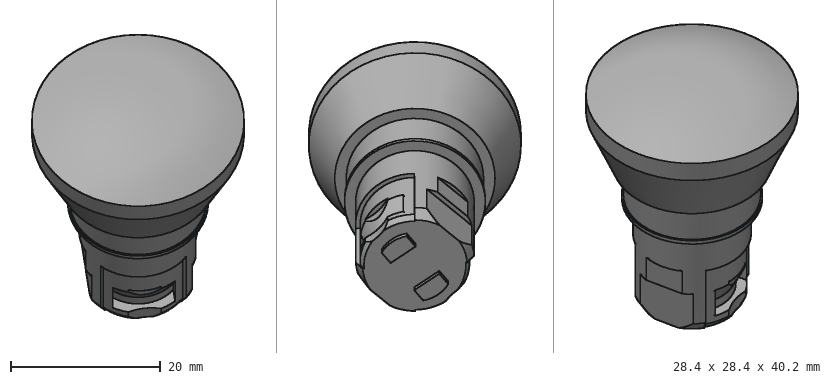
import cadquery as cq
import math

TOTAL_HEIGHT = 40.25
BODY_BOTTOM = 0.75
RECESS_TOP = 11.7
FLANGE_BOTTOM = 17.92
FLANGE_TOP = 18.52
HEAD_BOTTOM = 24.45
RIM_BOTTOM = 33.35
RIM_TOP = 36.35

HEAD_RADIUS = 28.4 / 2
HEAD_BASE_RADIUS = 10.7
COLLAR_RADIUS = 9.2
FLANGE_RADIUS = 9.42
BODY_RADIUS = 7.95
CORE_RADIUS = 7.33

BODY_TURN = -10
RECESS_ANGLE = 93.4
BODY_CHAMFER_HEIGHT = 1.75
BODY_CHAMFER_WIDTH = 0.93
CORE_CHAMFER_HEIGHT = 0.95
CORE_CHAMFER_WIDTH = CORE_CHAMFER_HEIGHT * BODY_CHAMFER_WIDTH / BODY_CHAMFER_HEIGHT

UPPER_FLAT_WIDTH = 5.55
LOWER_FLAT_WIDTH = 8.2
LOWER_FLAT_TOP = 7.75

POCKET_WIDTH = 8.38
POCKET_BOTTOM = 2.78
POCKET_WALL_TOP = 4.25
POCKET_TOP = 7.33
POCKET_RADIUS = 5.88
SCOOP_RADIUS = 7.35
SCOOP_FLOOR = 6.65
SCOOP_TOP = LOWER_FLAT_TOP

TAB_RADIUS = 5.07
TAB_INNER_X = 2.6
TAB_WIDTH = 4.2


def cylinder(radius, bottom, top):
    return cq.Workplane("XY").workplane(offset=bottom).circle(radius).extrude(top - bottom)


def block(x_min, x_max, width, bottom, top):
    """Box centred on the X axis."""
    length = x_max - x_min
    height = top - bottom
    return cq.Workplane("XY").box(length, width, height).translate(
        ((x_min + x_max) / 2, 0, (bottom + top) / 2)
    )


def both_sides(shape):
    """The shape together with its copy half a turn about Z."""
    return shape.union(shape.rotate((0, 0, 0), (0, 0, 1), 180))


def make_head_and_collar():
    return (
        cq.Workplane("XZ")
        .moveTo(0, FLANGE_BOTTOM)
        .lineTo(FLANGE_RADIUS, FLANGE_BOTTOM)
        .lineTo(FLANGE_RADIUS, FLANGE_TOP)
        .lineTo(COLLAR_RADIUS, FLANGE_TOP)
        .lineTo(COLLAR_RADIUS, HEAD_BOTTOM)
        .lineTo(HEAD_BASE_RADIUS, HEAD_BOTTOM)
        .lineTo(HEAD_RADIUS, RIM_BOTTOM)
        .lineTo(HEAD_RADIUS, RIM_TOP)
        .threePointArc(dome_point(HEAD_RADIUS / 2), (0, TOTAL_HEIGHT))
        .close()
        .revolve(360, (0, 0, 0), (0, 1, 0))
    )


def dome_radius():
    rise = TOTAL_HEIGHT - RIM_TOP
    return (HEAD_RADIUS**2 + rise**2) / (2 * rise)


def dome_point(radius):
    sphere = dome_radius()
    return radius, TOTAL_HEIGHT - sphere + math.sqrt(sphere**2 - radius**2)


def chamfered_cylinder(radius, top, chamfer_height, chamfer_width):
    solid = cylinder(radius, BODY_BOTTOM, top)
    return solid.faces("<Z").edges().chamfer(chamfer_height, chamfer_width)


def make_recess_sector():
    """Wedge open towards +X, spanning the angle of one side recess."""
    reach = 2 * BODY_RADIUS
    half_width = reach * math.tan(math.radians(RECESS_ANGLE / 2))
    return (
        cq.Workplane("XY")
        .polyline([(0, 0), (reach, -half_width), (reach, half_width)])
        .close()
        .extrude(RECESS_TOP)
    )


def make_flat_cut(width, bottom, top):
    """Block removed outside a flat of the given width, facing -Y."""
    distance = math.sqrt(BODY_RADIUS**2 - (width / 2) ** 2)
    cut = block(distance, 2 * BODY_RADIUS, 2 * BODY_RADIUS, bottom, top)
    return cut.rotate((0, 0, 0), (0, 0, 1), -90)


def make_pocket():
    """Undercut with a vertical inner wall that flares out conically above."""
    profile = [
        (POCKET_RADIUS, POCKET_BOTTOM),
        (POCKET_RADIUS, POCKET_WALL_TOP),
        (CORE_RADIUS, POCKET_TOP),
        (BODY_RADIUS, POCKET_TOP),
        (BODY_RADIUS, POCKET_BOTTOM),
    ]
    ring = cq.Workplane("XZ").polyline(profile).close().revolve(360, (0, 0, 0), (0, 1, 0))
    return ring.intersect(block(0, BODY_RADIUS, POCKET_WIDTH, POCKET_BOTTOM, POCKET_TOP))


def make_scoop():
    """Shallow vertical groove through the bottom lip and into the pocket roof."""
    return cylinder(SCOOP_RADIUS, BODY_BOTTOM, SCOOP_TOP).translate((SCOOP_FLOOR + SCOOP_RADIUS, 0, 0))


def make_body():
    body = chamfered_cylinder(BODY_RADIUS, FLANGE_BOTTOM, BODY_CHAMFER_HEIGHT, BODY_CHAMFER_WIDTH)
    core = chamfered_cylinder(CORE_RADIUS, RECESS_TOP, CORE_CHAMFER_HEIGHT, CORE_CHAMFER_WIDTH)
    recess = make_recess_sector().cut(core)
    cuts = [
        recess,
        make_pocket(),
        make_scoop(),
        make_flat_cut(UPPER_FLAT_WIDTH, LOWER_FLAT_TOP, RECESS_TOP),
        make_flat_cut(LOWER_FLAT_WIDTH, BODY_BOTTOM, LOWER_FLAT_TOP),
    ]
    for cut in cuts:
        body = body.cut(both_sides(cut))
    return body.rotate((0, 0, 0), (0, 0, 1), BODY_TURN)


def make_tabs():
    strip = block(TAB_INNER_X, BODY_RADIUS, TAB_WIDTH, 0, BODY_BOTTOM)
    return both_sides(strip.intersect(cylinder(TAB_RADIUS, 0, BODY_BOTTOM)))


result = make_head_and_collar().union(make_body()).union(make_tabs())